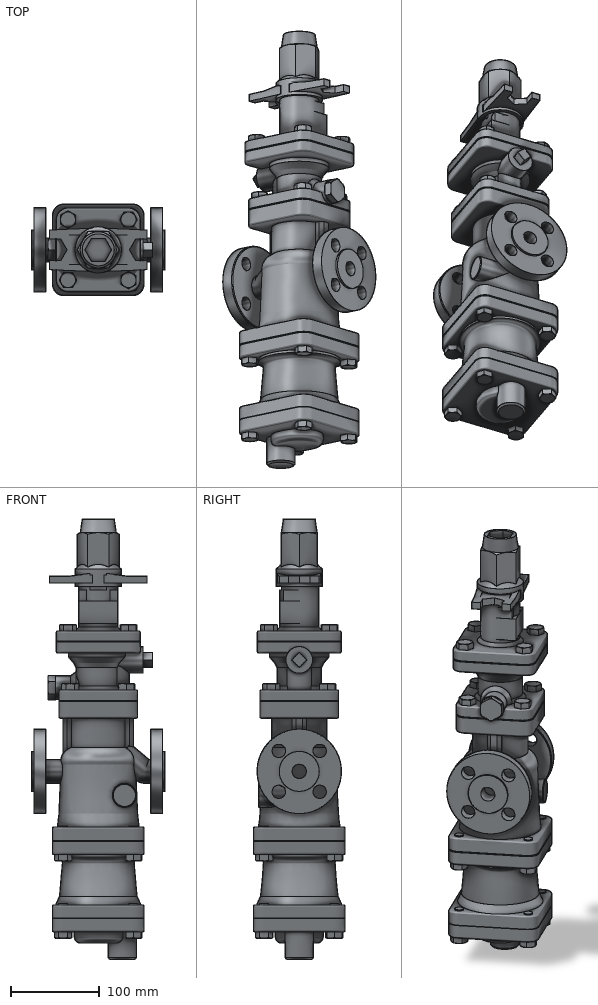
import cadquery as cq
import math


FACE_X = 75.0
RAISED_FACE_D = 45.0
RAISED_FACE_T = 2.5
FLANGE_D = 95.0
FLANGE_T = 14.0
FLANGE_CHAMFER = 1.0
BOLT_CIRCLE_D = 65.0
BOLT_HOLE_D = 15.0
FLANGE_BOLTS = 4
BORE_D = 16.0
BORE_DEPTH = 22.0
PIPE_D = 27.0
ELBOW_X = 52.0
ELBOW_RISE = 40.0
ELBOW_LENGTH = 32.0

JOINT_A_Z = (133.0, 146.0, 158.0)
JOINT_B_Z = (59.7, 79.0, 91.7)
JOINT_C_Z = (-93.7, -78.2, -62.4)
JOINT_D_Z = (-180.6, -165.0, -150.0)
JOINT_A_SIDE = 94.5
JOINT_B_SIDE = 88.5
LOWER_SIDE = 103.0
JOINT_A_BOLT = 34.0
JOINT_B_BOLT = 31.5
LOWER_BOLT = 39.5
CORNER_R = 13.0
PLATE_ROUND = 2.0
GASKET_T = 1.2
THIN_GASKET_T = 0.4
GASKET_INSET = 0.4
BOLT_AF = 17.0
BOLT_HEAD_H = 7.0
BOLT_HEAD_CHAMFER = 0.8
STUD_D = 10.0
STUD_PROTRUSION = 1.2

NECK_R = 25.0
NECK_FLARE_R = (NECK_R, 27.5, 33.5)
NECK_FLARE_Z = (116.5, 121.5, 128.5)
COVER_FILLET = 4.0
BODY_NECK_R = 31.2
BODY_DOME_R = 42.0
BODY_FOOT_R = 44.3
BODY_BASE_R = 46.0
DOME_TOP_Z = 27.0
DOME_BOTTOM_Z = 7.5
BODY_FOOT_Z = -47.5
TRAP_TOP_R = 40.5
TRAP_FLARE_R = 46.0
TRAP_FLARE_FOOT_Z = -104.0
TRAP_FLARE_TOP_Z = -96.5
TRAP_FOOT_R = 43.7
TRAP_BASE_R = 48.0
TRAP_FOOT_Z = -140.6

PASSAGE_HALF_Y = 8.0
PASSAGE_SHOULDER_X = 35.3
PASSAGE_RIDGE_X = 39.7
PASSAGE_RIDGE_HALF_Y = 3.8
BRIDGE_D = 27.0
BRIDGE_X = 21.5
INLET_BOSS_Z = 94.0
INLET_BOSS_END = 48.0
INLET_BOSS_FLARE_R = 18.0
INLET_BOSS_FLARE_X = (-31.0, -25.0)
INLET_PLUG_AF = 24.0
INLET_PLUG_END = 56.5
PLUG_D = 27.0
PLUG_CHAMFER = 1.0
OUTLET_BOSS_Z = 125.3
OUTLET_BOSS_D = 30.0
OUTLET_BOSS_END = 50.5
OUTLET_PLUG_END = 61.0
OUTLET_PLUG_SIDE = 12.0
FRONT_PLUG_X = 29.4
FRONT_PLUG_Z = -27.0
FRONT_PLUG_Y = -46.0

DRAIN_D = 32.0
DRAIN_X = 27.0
DRAIN_BOTTOM_Z = -211.5
DRAIN_CHAMFER = 2.0
SUMP_R = 27.0
SUMP_BOTTOM_Z = -193.0
SUMP_ROUND = 7.0
SUMP_OFFSET = 6.0

TOP_Z = 283.5
CAP_TOP_R = 18.0
CAP_FOOT_R = 20.3
CAP_FOOT_Z = 268.5
CAP_AF = 41.0
CAP_SHOULDER = 2.0
COLLAR_D = 52.0
COLLAR_Z = (221.0, 227.4)
COLLAR_CONE_TOP_Z = 232.6
LOWER_COLLAR_Z = (208.0, 211.5)
HUB_R = 24.0
SOCKET_AF = 26.0
SOCKET_DEPTH = 9.0
STEM_R = 22.0
STEM_FLAT_DEPTH = 20.0
GUARD_Z = (166.0, 191.5)
GUARD_TOP_Z = 204.0
GUARD_TOP_HALF_X = 21.95
GUARD_TOP_DEPTH = 17.5

HANDLE_Z = (211.5, 219.5)
HANDLE_HALF_X = 55.0
HANDLE_END_HALF_Y = 22.3
HANDLE_MID_HALF_Y = 24.6
NOTCH_HALF_Y = 12.2
NOTCH_SHOULDER_X = 42.3
NOTCH_TIP_X = 35.0
EAR_HALF_X = 32.5
EAR_INNER_Y = 16.5
EAR_TOP_Z = 223.0
POST_HALF_X = 6.4
POST_Z = (208.7, 223.5)


def rod(radius, z_low, z_high, x=0.0, y=0.0):
    """Upright cylinder between two levels."""
    return cq.Workplane("XY", origin=(x, y, z_low)).circle(radius).extrude(z_high - z_low)


def rod_x(radius, x_start, x_end, z):
    """Cylinder along X between two stations."""
    return cq.Workplane("YZ", origin=(x_start, 0, z)).circle(radius).extrude(x_end - x_start)


def block(x_range, y_range, z_range):
    """Box given by its limits on each axis."""
    ranges = (x_range, y_range, z_range)
    sizes = [high - low for low, high in ranges]
    corner = tuple(low for low, high in ranges)
    return cq.Workplane("XY", origin=corner).box(*sizes, centered=False)


def across_corners(across_flats):
    return across_flats / math.cos(math.pi / 6)


def cone(radius_low, radius_high, z_low, z_high):
    """Turned frustum on the valve axis."""
    profile = [(0, z_low), (radius_low, z_low), (radius_high, z_high), (0, z_high)]
    return cq.Workplane("XZ").polyline(profile).close().revolve(360, (0, 0, 0), (0, 1, 0))


def flare(radius_low, radius_high, z_foot, z_rim, z_top):
    """Trumpet that widens upward along a hollow arc, then runs straight to the top."""
    sag = math.sin(math.pi / 4)
    arc_mid = (radius_high - (radius_high - radius_low) * sag, z_rim - (z_rim - z_foot) * (1 - sag))
    return (
        cq.Workplane("XZ")
        .moveTo(0, z_foot)
        .lineTo(radius_low, z_foot)
        .threePointArc(arc_mid, (radius_high, z_rim))
        .lineTo(radius_high, z_top)
        .lineTo(0, z_top)
        .close()
        .revolve(360, (0, 0, 0), (0, 1, 0))
    )


def bolt_heads(offset, seat_z, direction):
    """Four hexagon heads standing up (1) or hanging down (-1) from a seat, each turned 90 degrees on."""
    corner_r = across_corners(BOLT_AF) / 2
    seat = cq.Workplane("XY", origin=(-offset, -offset, seat_z))
    hexagon = seat.polygon(6, 2 * corner_r).extrude(direction * BOLT_HEAD_H)
    end_face = ">Z" if direction > 0 else "<Z"
    rounding = (
        seat.circle(corner_r)
        .extrude(direction * BOLT_HEAD_H)
        .faces(end_face)
        .chamfer(BOLT_HEAD_CHAMFER, corner_r - BOLT_AF / 2)
    )
    head = hexagon.intersect(rounding)
    heads = cq.Workplane("XY")
    for quarter in range(4):
        heads = heads.add(head.rotate((0, 0, 0), (0, 0, 1), 90 * quarter))
    return heads.combine()


def square_joint(side, levels, gasket):
    """Two rounded square plates with a slightly smaller gasket between them."""
    bottom, split, top = levels
    plates = (
        cq.Workplane("XY", origin=(0, 0, bottom))
        .rect(side, side)
        .extrude(top - bottom)
        .edges("|Z")
        .fillet(CORNER_R)
        .faces("<Z or >Z")
        .edges()
        .fillet(PLATE_ROUND)
    )
    gap = cq.Workplane("XY", origin=(0, 0, split - gasket / 2)).rect(2 * side, 2 * side).extrude(gasket)
    core_side = side - 2 * GASKET_INSET
    core = (
        cq.Workplane("XY", origin=(0, 0, split - gasket))
        .rect(core_side, core_side)
        .extrude(2 * gasket)
        .edges("|Z")
        .fillet(CORNER_R - GASKET_INSET)
    )
    return plates.cut(gap).union(core)


def joints():
    joint = square_joint(JOINT_A_SIDE, JOINT_A_Z, GASKET_T)
    joint = joint.union(bolt_heads(JOINT_A_BOLT, JOINT_A_Z[2], 1))
    joint = joint.union(square_joint(JOINT_B_SIDE, JOINT_B_Z, GASKET_T))
    joint = joint.union(bolt_heads(JOINT_B_BOLT, JOINT_B_Z[2], 1))
    for levels, gasket in ((JOINT_C_Z, GASKET_T), (JOINT_D_Z, THIN_GASKET_T)):
        joint = joint.union(square_joint(LOWER_SIDE, levels, gasket))
        joint = joint.union(bolt_heads(LOWER_BOLT, levels[0], -1))
        stud_top = levels[2] + STUD_PROTRUSION
        for x in (-LOWER_BOLT, LOWER_BOLT):
            for y in (-LOWER_BOLT, LOWER_BOLT):
                joint = joint.union(rod(STUD_D / 2, levels[1], stud_top, x, y))
    return joint


def turned_bodies():
    """Necks, domed main body and tapered trap body between the joints."""
    bodies = rod(NECK_R, JOINT_B_Z[2], JOINT_A_Z[0])
    for step in range(2):
        bodies = bodies.union(cone(*NECK_FLARE_R[step:step + 2], *NECK_FLARE_Z[step:step + 2]))
    bodies = bodies.union(rod(NECK_FLARE_R[-1], NECK_FLARE_Z[-1], JOINT_A_Z[0]))
    bodies = bodies.union(cone(NECK_R + COVER_FILLET, NECK_R, JOINT_B_Z[2], JOINT_B_Z[2] + COVER_FILLET))
    bodies = bodies.union(rod(BODY_NECK_R, DOME_BOTTOM_Z, JOINT_B_Z[0]))

    dome_rise = DOME_TOP_Z - DOME_BOTTOM_Z
    dome_width = BODY_DOME_R - BODY_NECK_R
    dome_mid = (
        BODY_NECK_R + dome_width * math.sin(math.pi / 4),
        DOME_BOTTOM_Z + dome_rise * math.sin(math.pi / 4),
    )
    main_body = (
        cq.Workplane("XZ")
        .moveTo(0, DOME_TOP_Z)
        .lineTo(BODY_NECK_R, DOME_TOP_Z)
        .threePointArc(dome_mid, (BODY_DOME_R, DOME_BOTTOM_Z))
        .lineTo(BODY_FOOT_R, BODY_FOOT_Z)
        .lineTo(BODY_BASE_R, JOINT_C_Z[2])
        .lineTo(0, JOINT_C_Z[2])
        .close()
        .revolve(360, (0, 0, 0), (0, 1, 0))
    )
    trap = cone(TRAP_FOOT_R, TRAP_TOP_R, TRAP_FOOT_Z, TRAP_FLARE_FOOT_Z)
    trap_top = flare(TRAP_TOP_R, TRAP_FLARE_R, TRAP_FLARE_FOOT_Z, TRAP_FLARE_TOP_Z, JOINT_C_Z[0])
    trap_base = cone(TRAP_BASE_R, TRAP_FOOT_R, JOINT_D_Z[2], TRAP_FOOT_Z)
    return bodies.union(main_body).union(trap).union(trap_top).union(trap_base)


def pipe_flange(side):
    """Round flange with a raised face; side is -1 or 1 along X."""
    back = FACE_X - RAISED_FACE_T - FLANGE_T
    flange = (
        cq.Workplane("YZ", origin=(back, 0, 0))
        .circle(FLANGE_D / 2)
        .extrude(FLANGE_T)
        .faces("<X")
        .chamfer(FLANGE_CHAMFER)
    )
    flange = flange.union(rod_x(RAISED_FACE_D / 2, back, FACE_X, 0))
    holes = (
        cq.Workplane("YZ", origin=(back, 0, 0))
        .polarArray(BOLT_CIRCLE_D / 2, 45, 360, FLANGE_BOLTS)
        .circle(BOLT_HOLE_D / 2)
        .extrude(FLANGE_T)
    )
    flange = flange.cut(holes)
    return flange if side > 0 else flange.mirror("YZ")


def pipes():
    """Straight inlet pipe and bent outlet pipe."""
    inlet = rod_x(PIPE_D / 2, -FACE_X, 0, 0)
    outlet = rod_x(PIPE_D / 2, ELBOW_X, FACE_X, 0)
    knuckle = cq.Workplane("XY").sphere(PIPE_D / 2).translate((ELBOW_X, 0, 0))
    angle = math.radians(ELBOW_RISE)
    slope = cq.Plane(origin=(ELBOW_X, 0, 0), xDir=(0, 1, 0), normal=(-math.cos(angle), 0, math.sin(angle)))
    riser = cq.Workplane(slope).circle(PIPE_D / 2).extrude(ELBOW_LENGTH)
    return inlet.union(outlet).union(knuckle).union(riser)


def bores():
    inlet_bore = rod_x(BORE_D / 2, -FACE_X, BORE_DEPTH - FACE_X, 0)
    return inlet_bore.union(inlet_bore.mirror("YZ"))


def side_passages():
    """Ridged passages on both X sides of the body neck and a round one below the outlet boss."""
    passages = rod(BRIDGE_D / 2, JOINT_B_Z[1], OUTLET_BOSS_Z, BRIDGE_X)
    half = [
        (PASSAGE_RIDGE_X, PASSAGE_RIDGE_HALF_Y),
        (PASSAGE_SHOULDER_X, PASSAGE_HALF_Y),
        (-PASSAGE_SHOULDER_X, PASSAGE_HALF_Y),
        (-PASSAGE_RIDGE_X, PASSAGE_RIDGE_HALF_Y),
    ]
    outline = half + [(-x, -y) for x, y in half]
    ridges = cq.Workplane("XY").polyline(outline).close().extrude(JOINT_B_Z[1])
    passages = passages.union(ridges)
    return passages


def plugged_bosses():
    """Hexagon inlet plug, square outlet plug and round front plug on their bosses."""
    inlet_boss = rod_x(PLUG_D / 2, -INLET_BOSS_END, 0, INLET_BOSS_Z)
    flare_start, flare_end = INLET_BOSS_FLARE_X
    boss_flare = (
        cq.Workplane("YZ", origin=(flare_start, 0, INLET_BOSS_Z))
        .circle(PLUG_D / 2)
        .workplane(offset=flare_end - flare_start)
        .circle(INLET_BOSS_FLARE_R)
        .loft()
    )
    plug_face = cq.Workplane("YZ", origin=(-INLET_PLUG_END, 0, INLET_BOSS_Z))
    plug_length = INLET_PLUG_END - INLET_BOSS_END
    plug_corner_r = across_corners(INLET_PLUG_AF) / 2
    plug_hexagon = plug_face.transformed(rotate=(0, 0, 90)).polygon(6, 2 * plug_corner_r).extrude(plug_length)
    plug_rounding = plug_face.circle(plug_corner_r).extrude(plug_length).faces("<X").chamfer(PLUG_CHAMFER)
    inlet_plug = plug_hexagon.intersect(plug_rounding)
    outlet_boss = rod_x(OUTLET_BOSS_D / 2, 0, OUTLET_BOSS_END, OUTLET_BOSS_Z)
    outlet_plug = (
        cq.Workplane("YZ", origin=(OUTLET_BOSS_END, 0, OUTLET_BOSS_Z))
        .transformed(rotate=(0, 0, 45))
        .rect(OUTLET_PLUG_SIDE, OUTLET_PLUG_SIDE)
        .extrude(OUTLET_PLUG_END - OUTLET_BOSS_END)
    )
    front_plug = (
        cq.Workplane("XZ", origin=(FRONT_PLUG_X, 0, FRONT_PLUG_Z))
        .circle(PLUG_D / 2)
        .extrude(-FRONT_PLUG_Y)
        .faces("<Y")
        .chamfer(PLUG_CHAMFER)
    )
    inlet = inlet_boss.union(boss_flare).union(inlet_plug)
    return inlet.union(outlet_boss).union(outlet_plug).union(front_plug)


def drain():
    """Rounded sump under the lowest joint with an offset outlet pipe."""
    seat = JOINT_D_Z[0]
    sump = (
        cq.Workplane("XY", origin=(SUMP_OFFSET / 2, 0, SUMP_BOTTOM_Z))
        .slot2D(2 * SUMP_R + SUMP_OFFSET, 2 * SUMP_R)
        .extrude(seat - SUMP_BOTTOM_Z)
        .faces("<Z")
        .edges()
        .fillet(SUMP_ROUND)
    )
    pipe = rod(DRAIN_D / 2, DRAIN_BOTTOM_Z, seat, DRAIN_X).faces("<Z").chamfer(DRAIN_CHAMFER)
    return sump.union(pipe)


def stem():
    """Round stem with a flat-sided guard on its -Y half."""
    seat = JOINT_A_Z[2]
    post = rod(STEM_R, seat, LOWER_COLLAR_Z[0])
    flat_z = (GUARD_TOP_Z, LOWER_COLLAR_Z[0])
    post = post.cut(block((-STEM_R, STEM_R), (-STEM_R, -STEM_FLAT_DEPTH), flat_z))
    post = post.union(cone(STEM_R + COVER_FILLET, STEM_R, seat, seat + COVER_FILLET))
    guard = block((-STEM_R, STEM_R), (-STEM_R, 0), GUARD_Z)
    guard_top_z = (GUARD_Z[1], GUARD_TOP_Z)
    guard_top = block((-GUARD_TOP_HALF_X, GUARD_TOP_HALF_X), (-GUARD_TOP_DEPTH, 0), guard_top_z)
    return post.union(guard).union(guard_top)


def handle():
    """Flat handle, slightly wider at the middle, with V-bottomed forks at both ends and tapered side ears."""
    outline = [(HANDLE_HALF_X, NOTCH_HALF_Y), (NOTCH_SHOULDER_X, NOTCH_HALF_Y), (NOTCH_TIP_X, 0)]
    outline += [(x, -y) for x, y in reversed(outline[:2])]
    notch = (
        cq.Workplane("XY", origin=(0, 0, HANDLE_Z[0]))
        .polyline(outline)
        .close()
        .extrude(HANDLE_Z[1] - HANDLE_Z[0])
    )
    half_plan = [
        (HANDLE_HALF_X, HANDLE_END_HALF_Y),
        (0, HANDLE_MID_HALF_Y),
        (-HANDLE_HALF_X, HANDLE_END_HALF_Y),
    ]
    plan = half_plan + [(-x, -y) for x, y in half_plan]
    envelope = (
        cq.Workplane("XY", origin=(0, 0, HANDLE_Z[0]))
        .polyline(plan)
        .close()
        .extrude(EAR_TOP_Z - HANDLE_Z[0])
    )
    bar = envelope.intersect(
        block((-HANDLE_HALF_X, HANDLE_HALF_X), (-HANDLE_MID_HALF_Y, HANDLE_MID_HALF_Y), HANDLE_Z)
    )
    bar = bar.cut(notch).cut(notch.mirror("YZ"))
    ear_profile = [
        (-EAR_HALF_X, HANDLE_Z[0]),
        (EAR_HALF_X, HANDLE_Z[0]),
        (EAR_HALF_X, HANDLE_Z[1]),
        (POST_HALF_X, EAR_TOP_Z),
        (-POST_HALF_X, EAR_TOP_Z),
        (-EAR_HALF_X, HANDLE_Z[1]),
    ]
    ear = (
        cq.Workplane("XZ", origin=(0, -EAR_INNER_Y, 0))
        .polyline(ear_profile)
        .close()
        .extrude(HANDLE_MID_HALF_Y - EAR_INNER_Y)
        .intersect(envelope)
    )
    post = block((-POST_HALF_X, POST_HALF_X), (-COLLAR_D / 2, -EAR_INNER_Y), POST_Z)
    post = post.intersect(rod(COLLAR_D / 2, *POST_Z))
    side = ear.union(post)
    return bar.union(side).union(side.mirror("XZ"))


def adjuster():
    """Collars and hexagonal cap with a turned nose and a hexagon socket."""
    hub = rod(HUB_R, LOWER_COLLAR_Z[0], COLLAR_Z[0])
    lower_collar = rod(COLLAR_D / 2, *LOWER_COLLAR_Z)
    collar = rod(COLLAR_D / 2, *COLLAR_Z)
    collar = collar.union(cone(COLLAR_D / 2, CAP_AF / 2, COLLAR_Z[1], COLLAR_CONE_TOP_Z))
    hexagon = (
        cq.Workplane("XY", origin=(0, 0, COLLAR_Z[0]))
        .polygon(6, across_corners(CAP_AF))
        .extrude(CAP_FOOT_Z - COLLAR_Z[0])
    )
    corner_r = across_corners(CAP_AF) / 2
    shoulder = rod(corner_r, COLLAR_Z[0], CAP_FOOT_Z).faces(">Z").chamfer(CAP_SHOULDER, corner_r - CAP_FOOT_R)
    nose = cone(CAP_FOOT_R, CAP_TOP_R, CAP_FOOT_Z, TOP_Z)
    socket = (
        cq.Workplane("XY", origin=(0, 0, TOP_Z - SOCKET_DEPTH))
        .polygon(6, across_corners(SOCKET_AF))
        .extrude(SOCKET_DEPTH)
    )
    cap = hexagon.intersect(shoulder).union(nose).cut(socket)
    return hub.union(lower_collar).union(collar).union(cap)


result = turned_bodies().union(joints()).union(pipes())
for flange_side in (-1, 1):
    result = result.union(pipe_flange(flange_side))
for feature in (side_passages(), plugged_bosses(), drain(), stem(), handle(), adjuster()):
    result = result.union(feature)
result = result.cut(bores())